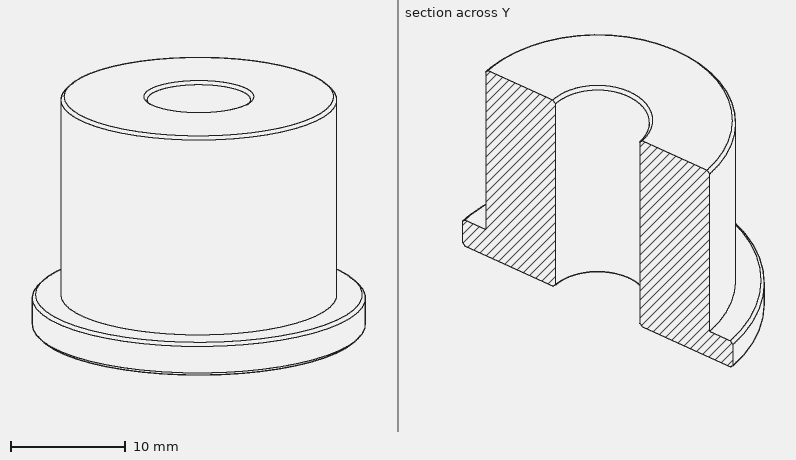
import cadquery as cq

flange_diameter = 29.0
flange_thickness = 3.0
body_diameter = 24.0
total_height = 21.0
bore_diameter = 9.0
edge_chamfer = 0.3

body_height = total_height - flange_thickness

flange = cq.Workplane("XY").circle(flange_diameter / 2).extrude(flange_thickness).edges().chamfer(edge_chamfer)

body = (
    cq.Workplane("XY", origin=(0, 0, flange_thickness))
    .circle(body_diameter / 2)
    .extrude(body_height)
    .faces(">Z")
    .edges()
    .chamfer(edge_chamfer)
)


def bore_cutter():
    """Through bore that widens into a chamfer at both ends."""
    radius = bore_diameter / 2
    mouth_radius = radius + edge_chamfer
    profile = [
        (0, 0),
        (mouth_radius, 0),
        (radius, edge_chamfer),
        (radius, total_height - edge_chamfer),
        (mouth_radius, total_height),
        (0, total_height),
    ]
    return cq.Workplane("XZ").polyline(profile).close().revolve(360, (0, 0), (0, 1))


result = flange.union(body).cut(bore_cutter())